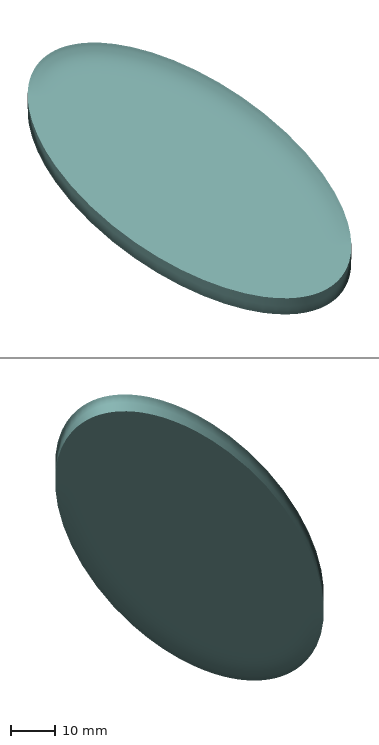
import cadquery as cq

length = 100.0
width = 50.0
thickness = 5.0

result = cq.Workplane("XY").ellipse(length / 2, width / 2).extrude(thickness)